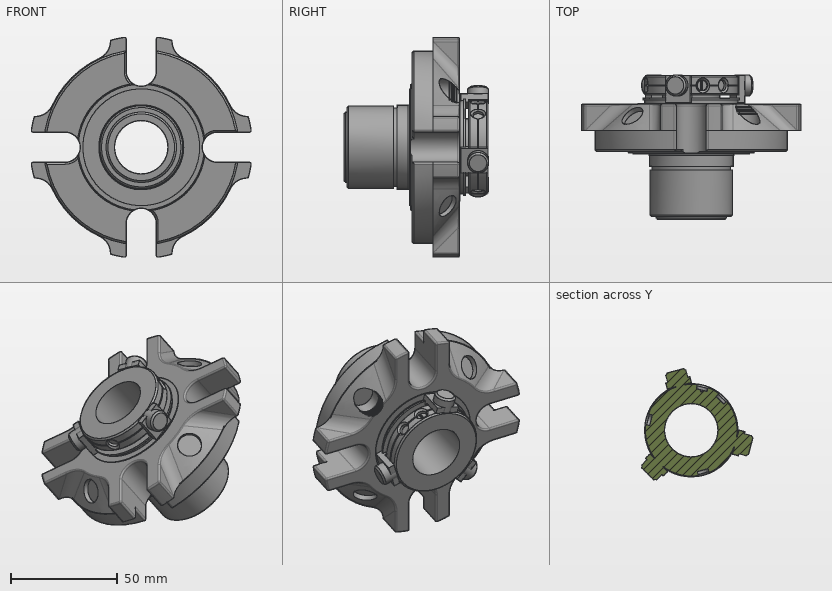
import cadquery as cq
import math


NOSE_END = 1.5
SLEEVE_END = 23.4
RELIEF_END = 25.1
SEAT_FACE = 30.3
STEP_FACE = 30.9
LIP_FACE = 31.5
DISC_FACE = 32.1
PLATE_FRONT = 41.9
PLATE_BACK = 54.4
RIM_END = 54.8
RING_FRONT = 56.25
RING_BACK = 57.2
COLLAR_FRONT = 58.6
COLLAR_BACK = 67.9
OVERALL_LENGTH = 68.2

BORE_D = 24.99
NECK_D = 26.98
NOSE_D = 33.18
RELIEF_D = 37.16
SLEEVE_D = 38.96
SHOULDER_D = 39.6
SEAT_D = 40.01
COLLAR_D = 43.94
RING_D = 45.47
RIM_D = 50.4
STEP_D = 54.97
LIP_D = 60.4
LIP_CHAMFER = 0.55
DISC_D = 91.9
NOSE_CHAMFER = 0.9
SLEEVE_CHAMFER = 0.8
DISC_CHAMFER = 0.9
COLLAR_CHAMFER = 0.8

PLATE_WIDTH = 103.52
LUG_HALF_WIDTH = 14.5
BLEND_FRONT_R = 8.8
BLEND_BACK_R = 12.0
TAPER_ANGLE = 45
TAPER_FRONT_R = 46.3
TAPER_BACK_R = TAPER_FRONT_R - (PLATE_BACK - PLATE_FRONT) * math.tan(math.radians(TAPER_ANGLE))
CORNER_R = 0.9
PLATE_BACK_FILLET = 0.8

SLOT_WIDTH = 14.1
SLOT_END_R = 28.75
SLOT_CHAMFER = 0.95
SLOT_R = SLOT_WIDTH / 2
SLOT_CENTRE_R = SLOT_END_R + SLOT_R
LUG_TIP_R = CORNER_R + math.hypot(PLATE_WIDTH / 2 - CORNER_R, SLOT_R + CORNER_R)
QUARTERS = (0, 90, 180, 270)

PORT_D = 11.25
THREAD_RINGS = 4
THREAD_PITCH = 1.1
THREAD_RING_WIDTH = 0.5
THREAD_D = 11.85
SPOT_DEPTH = 2.6
SPOT_Y = 48.9
SPOT_ANGLES = (135, 225, 315)
AXIAL_PORT_ANGLE = 45
AXIAL_PORT_R = 37.7
AXIAL_PORT_FLOOR_Y = 43.7

SCREW_HEAD_D = 10.0
COLLAR_MID = OVERALL_LENGTH - SCREW_HEAD_D / 2
GROOVE_WIDTH = 0.4
GROOVE_DEPTH = 0.3
SET_HOLE_D = 5.0
SET_HOLE_MOUTH_D = 7.0
SET_HOLE_DEPTH = 2.4
SLOTTED_HOLE_ANGLE = 75.5
SET_HOLE_ANGLES = (46, 166, 286, SLOTTED_HOLE_ANGLE)
DRIVER_SLOT_WIDTH = 0.7
DRIVER_SLOT_DEPTH = 0.8
CLIP_ANGLES = (105, 225, 345)
CLIP_WIDTH = 11.8
CLIP_OUTER_R = 24.6
CLIP_INNER_R = 21.6
CLIP_FOOT_R = 20.4
CLIP_FRONT = 55.1
SCREW_TIP_R = 29.0
SCREW_CHAMFER = 0.9


def at_angle(body, angle):
    """Turn a body built on the +X side to an angle about the Y axis."""
    return body.rotate((0, 0, 0), (0, 1, 0), -angle)


def disc(diameter, start, end):
    """Cylinder on the Y axis between two stations."""
    plane = cq.Workplane("XZ", origin=(0, end, 0))
    return plane.circle(diameter / 2).extrude(end - start)


def block(x_range, y_range, z_width):
    """Box between X and Y limits, centred on Z = 0."""
    x_size = x_range[1] - x_range[0]
    y_size = y_range[1] - y_range[0]
    box = cq.Workplane("XY").box(x_size, y_size, z_width)
    return box.translate((sum(x_range) / 2, sum(y_range) / 2, 0))


def radial_cylinder(diameter, inner, outer):
    """Cylinder along +X at mid collar."""
    plane = cq.Workplane("YZ", origin=(inner, COLLAR_MID, 0))
    return plane.circle(diameter / 2).extrude(outer - inner)


def polar(radius, angle):
    return (radius * math.cos(angle), radius * math.sin(angle))


def turned(point, quarter):
    """Turn an outline point by a quarter-turn angle in degrees."""
    angle = math.atan2(point[1], point[0]) + math.radians(quarter)
    return polar(math.hypot(*point), angle)


def lug_outline(plane, taper_r, blend_r):
    """Closed plate outline with a lug on each axis and arcs of taper_r between them."""
    corner = (math.sqrt(LUG_TIP_R**2 - LUG_HALF_WIDTH**2), LUG_HALF_WIDTH)
    blend_z = LUG_HALF_WIDTH + blend_r
    blend_x = math.sqrt((taper_r + blend_r)**2 - blend_z**2)
    blend_angle = math.atan2(blend_z, blend_x)
    blend_start = (blend_x, LUG_HALF_WIDTH)
    middle_angle = (-math.pi / 2 + blend_angle - math.pi) / 2
    offset = polar(blend_r, middle_angle)
    blend_middle = (blend_x + offset[0], blend_z + offset[1])
    blend_end = polar(taper_r, blend_angle)

    next_corner, next_start, next_middle, next_end = [
        (z, x) for x, z in (corner, blend_start, blend_middle, blend_end)
    ]
    outline = plane.moveTo(corner[0], -corner[1])
    for quarter in QUARTERS:
        outline = outline.threePointArc(turned((LUG_TIP_R, 0), quarter), turned(corner, quarter))
        outline = outline.lineTo(*turned(blend_start, quarter))
        outline = outline.threePointArc(turned(blend_middle, quarter), turned(blend_end, quarter))
        taper_middle = polar(taper_r, math.pi / 4)
        outline = outline.threePointArc(turned(taper_middle, quarter), turned(next_end, quarter))
        outline = outline.threePointArc(turned(next_middle, quarter), turned(next_start, quarter))
        outline = outline.lineTo(*turned(next_corner, quarter))
    return outline.close()


def cut_slots(body):
    for quarter in QUARTERS:
        body = body.cut(at_angle(slot(SLOT_WIDTH, (0, OVERALL_LENGTH)), quarter))
    return body


def round_outer_corners(body, rim_r):
    """Round the edges along Y that lie on the rim of the body."""
    corners = []
    for edge in body.edges().vals():
        centre = edge.Center()
        along_y = abs(edge.tangentAt(0).y) > 0.99
        if along_y and math.hypot(centre.x, centre.z) > rim_r - CORNER_R:
            corners.append(edge)
    return body.newObject(corners).fillet(CORNER_R)


def make_plate():
    thickness = PLATE_BACK - PLATE_FRONT
    back = lug_outline(cq.Workplane("XZ", origin=(0, PLATE_BACK, 0)), TAPER_BACK_R, BLEND_BACK_R)
    plate = lug_outline(back.workplane(offset=thickness), TAPER_FRONT_R, BLEND_FRONT_R).loft(ruled=True)
    plate = round_outer_corners(cut_slots(plate), LUG_TIP_R)
    return plate.faces(">Y").edges().fillet(PLATE_BACK_FILLET)


def make_disc():
    blank = disc(DISC_D, DISC_FACE, PLATE_FRONT)
    slotted = round_outer_corners(cut_slots(blank), DISC_D / 2)
    return slotted.intersect(blank.faces("<Y").edges().chamfer(DISC_CHAMFER))


def slot(width, depth_range, taper=0):
    """Open-ended radial slot on the +X side, narrowing towards +Y when tapered."""
    start, end = depth_range
    far = PLATE_WIDTH
    centre = (SLOT_CENTRE_R + far) / 2
    plane = cq.Workplane("XZ", origin=(0, start, 0))
    length = far - SLOT_CENTRE_R + width
    return plane.center(centre, 0).slot2D(length, width).extrude(start - end, taper=taper)


def slot_chamfer():
    """Chamfer tool for the +Z side of the +X slot on the disc face."""
    tool = slot(SLOT_WIDTH + 2 * SLOT_CHAMFER, (DISC_FACE, DISC_FACE + SLOT_CHAMFER), taper=TAPER_ANGLE)
    side = cq.Workplane("XY").box(2 * PLATE_WIDTH, 2 * PLATE_WIDTH, PLATE_WIDTH)
    return tool.intersect(side.translate((0, 0, PLATE_WIDTH / 2)))


def spot_face():
    """Flat-bottomed recess square to the 45 degree taper on the +X side."""
    surface_r = TAPER_FRONT_R - (SPOT_Y - PLATE_FRONT) * math.tan(math.radians(TAPER_ANGLE))
    tool = cq.Workplane("YZ").circle(PORT_D / 2).extrude(PORT_D).translate((-SPOT_DEPTH, 0, 0))
    return tool.rotate((0, 0, 0), (0, 0, 1), TAPER_ANGLE).translate((surface_r, SPOT_Y, 0))


def axial_port():
    """Flat-bottomed port parallel to Y, with a ring groove per thread turn along its mouth."""
    plane = cq.Workplane("XZ", origin=(AXIAL_PORT_R, OVERALL_LENGTH, 0))
    port = plane.circle(PORT_D / 2).extrude(OVERALL_LENGTH - AXIAL_PORT_FLOOR_Y)
    for turn in range(1, THREAD_RINGS + 1):
        end = PLATE_BACK - turn * THREAD_PITCH
        ring = disc(THREAD_D, end - THREAD_RING_WIDTH, end).translate((AXIAL_PORT_R, 0, 0))
        port = port.union(ring)
    return port


def make_gland():
    gland = make_disc().union(make_plate())
    for quarter in QUARTERS:
        gland = gland.cut(at_angle(slot_chamfer(), quarter))
    lip = disc(LIP_D, LIP_FACE, PLATE_FRONT).faces("<Y").edges().chamfer(LIP_CHAMFER)
    step = disc(STEP_D, STEP_FACE, PLATE_FRONT)
    gland = gland.union(cut_slots(lip.union(step)))
    for angle in SPOT_ANGLES:
        gland = gland.cut(at_angle(spot_face(), angle))
    gland = gland.cut(at_angle(axial_port(), AXIAL_PORT_ANGLE))
    return gland.union(disc(RIM_D, PLATE_FRONT, RIM_END))


def make_sleeve():
    sleeve = disc(NOSE_D, 0, SLEEVE_END).faces("<Y").edges().chamfer(NOSE_CHAMFER)
    barrel = disc(SLEEVE_D, NOSE_END, SLEEVE_END).faces("<Y").edges().chamfer(SLEEVE_CHAMFER)
    sleeve = sleeve.union(barrel)
    sleeve = sleeve.union(disc(RELIEF_D, SLEEVE_END, RELIEF_END))
    sleeve = sleeve.union(disc(SHOULDER_D, RELIEF_END, SEAT_FACE))
    sleeve = sleeve.union(disc(SEAT_D, SEAT_FACE, DISC_FACE))
    sleeve = sleeve.union(disc(COLLAR_D, PLATE_FRONT, RING_BACK))
    sleeve = sleeve.union(disc(RING_D, RING_FRONT, RING_BACK))
    return sleeve.union(disc(NECK_D, RING_BACK, COLLAR_FRONT))


def set_hole():
    """Countersunk radial blind hole on the +X side."""
    surface_r = COLLAR_D / 2
    mouth_depth = (SET_HOLE_MOUTH_D - SET_HOLE_D) / 2
    hole = radial_cylinder(SET_HOLE_D, surface_r - SET_HOLE_DEPTH, CLIP_OUTER_R)
    plane = cq.Workplane("YZ", origin=(surface_r, COLLAR_MID, 0))
    mouth = plane.circle(SET_HOLE_MOUTH_D / 2).extrude(-mouth_depth, taper=TAPER_ANGLE)
    return hole.union(mouth)


def driver_slot():
    """Screwdriver slot across the floor of a set hole on the +X side."""
    floor_r = COLLAR_D / 2 - SET_HOLE_DEPTH
    half = SET_HOLE_D / 2
    y_range = (COLLAR_MID - half, COLLAR_MID + half)
    return block((floor_r - DRIVER_SLOT_DEPTH, floor_r), y_range, DRIVER_SLOT_WIDTH)


def clip():
    """Setting clip with its screw head, on the +X side."""
    body = block((CLIP_INNER_R, CLIP_OUTER_R), (CLIP_FRONT, COLLAR_BACK), CLIP_WIDTH)
    foot = block((CLIP_FOOT_R, CLIP_OUTER_R), (CLIP_FRONT, COLLAR_FRONT), CLIP_WIDTH)
    head = radial_cylinder(SCREW_HEAD_D, CLIP_INNER_R, SCREW_TIP_R)
    head = head.faces(">X").edges().chamfer(SCREW_CHAMFER)
    return body.union(foot).union(head)


def make_collar():
    collar = disc(COLLAR_D, COLLAR_FRONT, COLLAR_BACK).faces("<Y or >Y").edges().chamfer(COLLAR_CHAMFER)
    groove_start = COLLAR_MID - GROOVE_WIDTH / 2
    groove_end = COLLAR_MID + GROOVE_WIDTH / 2
    groove_floor = disc(COLLAR_D - 2 * GROOVE_DEPTH, groove_start, groove_end)
    collar = collar.cut(disc(RING_D, groove_start, groove_end).cut(groove_floor))
    for angle in SET_HOLE_ANGLES:
        collar = collar.cut(at_angle(set_hole(), angle))
    collar = collar.cut(at_angle(driver_slot(), SLOTTED_HOLE_ANGLE))
    for angle in CLIP_ANGLES:
        collar = collar.union(at_angle(clip(), angle))
    return collar


result = make_gland().union(make_sleeve()).union(make_collar())
result = result.cut(disc(BORE_D, 0, OVERALL_LENGTH))